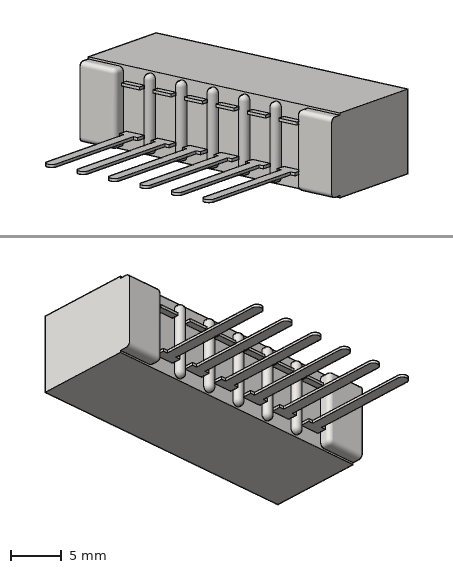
import cadquery as cq

HOUSING_LENGTH = 31.65
HOUSING_DEPTH = 10.75
HOUSING_HEIGHT = 8.7

CONTACT_COUNT = 6
PITCH = 3.95
RAISED_INSET = 0.22
RAISED_HEIGHT = HOUSING_HEIGHT - 2 * RAISED_INSET

END_BLOCK_LENGTH = 4.43
END_BLOCK_RISE = 1.3
END_BLOCK_FILLET = 0.5

RIB_WIDTH = 1.1
RIB_RISE = 0.75
RIB_RADIUS = RIB_WIDTH / 2

ROW_OFFSET = 2.55
SHEET_THICKNESS = 0.32
SHOULDER_WIDTH = 2.28
SHOULDER_LENGTH = 1.08
TAB_LENGTH = 0.75
PIN_WIDTH = 1.2
PIN_TIP_RADIUS = PIN_WIDTH / 2
OVERALL_DEPTH = 24.6
PIN_REACH = OVERALL_DEPTH - HOUSING_DEPTH


def centred_positions(count):
    """X positions of `count` features at the contact pitch, centred on X = 0."""
    return [(index - (count - 1) / 2) * PITCH for index in range(count)]


def make_end_block():
    """Raised block at the -X end, rounded on every outer edge except the end face's."""
    block = cq.Workplane("XY").box(
        END_BLOCK_LENGTH, END_BLOCK_RISE, RAISED_HEIGHT, centered=(False, False, True)
    )
    block = block.edges("(<Y and >X) or (<Y and (>Z or <Z)) or (>X and (>Z or <Z))").fillet(END_BLOCK_FILLET)
    return block.translate((-HOUSING_LENGTH / 2, -END_BLOCK_RISE, 0))


def make_rib(x):
    """Upright rib with a half-round nose and spherical ends."""
    straight_rise = RIB_RISE - RIB_RADIUS
    nose_length = RAISED_HEIGHT - RIB_WIDTH
    base = cq.Workplane("XZ").slot2D(RAISED_HEIGHT, RIB_WIDTH, 90).extrude(straight_rise)
    nose = cq.Workplane("XY").circle(RIB_RADIUS).extrude(nose_length / 2, both=True)
    for end in (-1, 1):
        nose = nose.union(cq.Workplane("XY").sphere(RIB_RADIUS).translate((0, 0, end * nose_length / 2)))
    front_half = cq.Workplane("XY").box(
        RIB_WIDTH, RIB_WIDTH, RAISED_HEIGHT, centered=(True, False, True)
    ).translate((0, -RIB_WIDTH, 0))
    nose = nose.intersect(front_half).translate((0, -straight_rise, 0))
    return base.union(nose).translate((x, 0, 0))


def make_tab(x):
    """Short flat tab standing on the contact face in the upper row."""
    tab = cq.Workplane("XY").box(
        SHOULDER_WIDTH, TAB_LENGTH, SHEET_THICKNESS, centered=(True, False, True)
    )
    return tab.translate((x, -TAB_LENGTH, ROW_OFFSET))


def make_housing():
    """Housing with its end blocks, ribs and upper tabs."""
    housing = cq.Workplane("XY").box(
        HOUSING_LENGTH, HOUSING_DEPTH, HOUSING_HEIGHT, centered=(True, False, True)
    )
    end_block = make_end_block()
    housing = housing.union(end_block).union(end_block.mirror("YZ"))
    for x in centred_positions(CONTACT_COUNT - 1):
        housing = housing.union(make_rib(x))
    for x in centred_positions(CONTACT_COUNT):
        housing = housing.union(make_tab(x))
    return housing


def make_contact(x):
    """Flat lower-row contact: a wide shoulder on the face, then a round-tipped pin."""
    half_shoulder = SHOULDER_WIDTH / 2
    half_pin = PIN_WIDTH / 2
    tip_start = -PIN_REACH + PIN_TIP_RADIUS
    outline = (
        cq.Workplane("XY")
        .moveTo(-half_shoulder, 0)
        .lineTo(-half_shoulder, -SHOULDER_LENGTH)
        .lineTo(-half_pin, -SHOULDER_LENGTH)
        .lineTo(-half_pin, tip_start)
        .threePointArc((0, -PIN_REACH), (half_pin, tip_start))
        .lineTo(half_pin, -SHOULDER_LENGTH)
        .lineTo(half_shoulder, -SHOULDER_LENGTH)
        .lineTo(half_shoulder, 0)
        .close()
    )
    return outline.extrude(SHEET_THICKNESS / 2, both=True).translate((x, 0, -ROW_OFFSET))


housing = make_housing()
contacts = [make_contact(x) for x in centred_positions(CONTACT_COUNT)]
result = cq.Compound.makeCompound([housing.val(), *[contact.val() for contact in contacts]])